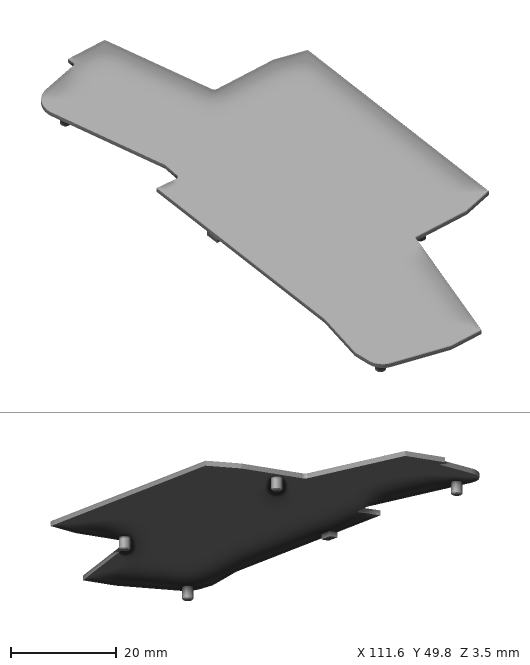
import cadquery as cq


plate_thickness = 1.0
rim_chamfer = 0.1

hub_half_width = 28.9
hub_top_half_width = 27.0
hub_top_y = 48.0
hub_shoulder_y = 41.1

left_tip_x = -53.6
right_tip_x = left_tip_x + 111.6
left_root_y = 26.8
left_tip_y = 20.2
right_root_y = 28.6
right_tip_y = 20.9

left_notch_y = 11.3
left_notch_x = -51.5
left_heel = (-48.0, -2.5)
front_bend = (-17.6, 5.6)
step_top = (-13.2, 5.4)
step_foot_x = -13.4

right_side_y = 13.5
right_heel = (54.1, -1.0)
lowest_point = (48.0, -1.8)
front_edge_end_x = 36.8

left_root_radius = 0.9
right_root_radius = 0.3
notch_radius = 0.6
left_heel_radius = 5.0
right_heel_radius = 3.9
step_radius = 0.8

pin_diameter = 2.1
pin_length = 2.5
pin_chamfer = 0.2
hub_pin_x = 26.6
hub_pin_y = 31.7
wing_pin_y = 1.3
left_wing_pin_x = -42.2
right_wing_pin_x = 51.8
pad_length = 3.0
pad_width = 1.7
pad_depth = 1.0
pad_x = 3.1


def make_plate():
    left_root = (-hub_half_width, left_root_y)
    right_root = (hub_half_width, right_root_y)
    left_notch = (left_notch_x, left_notch_y)
    outline = [
        (-hub_top_half_width, hub_top_y),
        (hub_top_half_width, hub_top_y),
        (hub_half_width, hub_shoulder_y),
        right_root,
        (right_tip_x, right_tip_y),
        (right_tip_x, right_side_y),
        right_heel,
        lowest_point,
        (front_edge_end_x, 0),
        (step_foot_x, 0),
        step_top,
        front_bend,
        left_heel,
        left_notch,
        (left_tip_x, left_notch_y),
        (left_tip_x, left_tip_y),
        left_root,
        (-hub_half_width, hub_shoulder_y),
    ]
    rounded_corners = [
        (left_root, left_root_radius),
        (right_root, right_root_radius),
        (left_notch, notch_radius),
        (left_heel, left_heel_radius),
        (right_heel, right_heel_radius),
        (step_top, step_radius),
    ]
    plate = cq.Workplane("XY").polyline(outline).close().extrude(plate_thickness)
    for (x, y), radius in rounded_corners:
        corner = cq.selectors.NearestToPointSelector((x, y, plate_thickness / 2))
        plate = plate.edges("|Z").edges(corner).fillet(radius)
    return plate.faces(">Z").edges().chamfer(rim_chamfer)


def make_pins():
    centres = [
        (-hub_pin_x, hub_pin_y),
        (hub_pin_x, hub_pin_y),
        (left_wing_pin_x, wing_pin_y),
        (right_wing_pin_x, wing_pin_y),
    ]
    pins = cq.Workplane("XY").pushPoints(centres).circle(pin_diameter / 2).extrude(-pin_length)
    return pins.faces("<Z").edges().chamfer(pin_chamfer)


def make_pad():
    return cq.Workplane("XY").center(pad_x, pad_width / 2).rect(pad_length, pad_width).extrude(-pad_depth)


result = make_plate().union(make_pins()).union(make_pad())